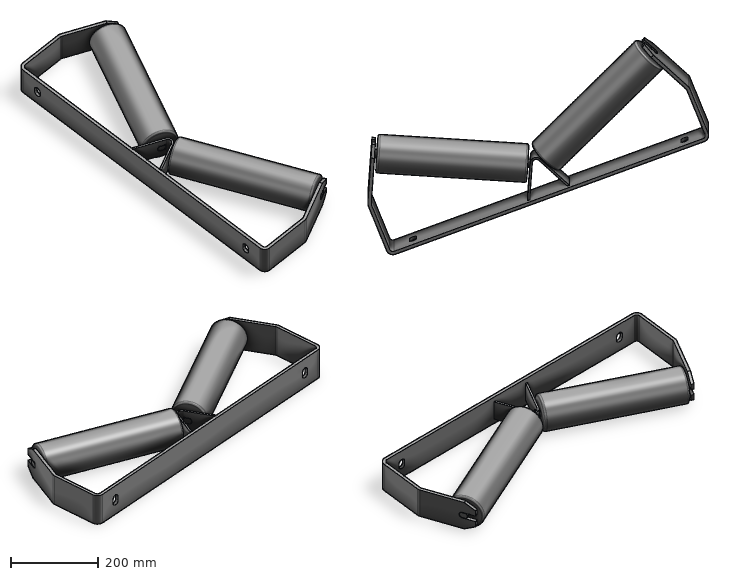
import cadquery as cq
import math


TROUGH_ANGLE = 25.0

FRAME_LENGTH = 790.0
FRAME_WIDTH = 80.0
FRAME_THICKNESS = 8.0
FRAME_BEND_RADIUS = 16.0
SIDE_BEND_Y = 131.0
ARM_LENGTH = 139.0
ARM_CORNER_LENGTH = 28.5
ARM_CORNER_DEPTH = 16.0

MOUNT_HOLE_X = 333.0
MOUNT_HOLE_WIDTH = 17.0
MOUNT_HOLE_HEIGHT = 27.0

SUPPORT_WIDTH = 52.0
SUPPORT_THICKNESS = 5.0
SUPPORT_FOOT_X = 51.0
SUPPORT_BEND_RADIUS = 13.5

ROLLER_DIAMETER = 89.0
ROLLER_EDGE_RADIUS = 5.0
ROLLER_GAP = 5.5
ROLLER_AXIS_OFFSET = 67.0

SHAFT_DIAMETER = 20.0
SHAFT_FLATS = 14.0
SLOT_WIDTH = 16.5
SUPPORT_SLOT_OPENING = 10.0

COS = math.cos(math.radians(TROUGH_ANGLE))
SIN = math.sin(math.radians(TROUGH_ANGLE))
HALF_COS = math.cos(math.radians(TROUGH_ANGLE / 2))
HALF_SIN = math.sin(math.radians(TROUGH_ANGLE / 2))
HALF_LENGTH = FRAME_LENGTH / 2
HALF_WIDTH = FRAME_WIDTH / 2

BEND_CENTRE_X = HALF_LENGTH - FRAME_BEND_RADIUS
ARM_OUTER_ALONG = BEND_CENTRE_X * COS + SIDE_BEND_Y * SIN + FRAME_BEND_RADIUS
ARM_INNER_ALONG = ARM_OUTER_ALONG - FRAME_THICKNESS
ARM_ROOT_ACROSS = SIDE_BEND_Y * COS - BEND_CENTRE_X * SIN
ARM_TIP_ACROSS = ARM_ROOT_ACROSS + ARM_LENGTH
LEG_OUTER_ALONG = SUPPORT_FOOT_X * COS + FRAME_THICKNESS * SIN
LEG_INNER_ALONG = LEG_OUTER_ALONG - SUPPORT_THICKNESS
CROWN_CENTRE_Y = (LEG_OUTER_ALONG - SUPPORT_BEND_RADIUS) / SIN

FLAT_CORNER_DROP = math.sqrt((SHAFT_DIAMETER / 2) ** 2 - (SHAFT_FLATS / 2) ** 2)
SLOT_CORNER_DROP = math.sqrt((SLOT_WIDTH / 2) ** 2 - (SHAFT_FLATS / 2) ** 2)
SLOT_FLOOR_DROP = FLAT_CORNER_DROP - SLOT_CORNER_DROP


def tilted(along, across):
    """XY point for a position in the right-hand roller frame."""
    return (along * COS - across * SIN, along * SIN + across * COS)


def tilted_plane(along):
    """Plane square to the right-hand roller axis; local x runs across, local y runs along Z."""
    x, y = tilted(along, ROLLER_AXIS_OFFSET)
    return cq.Plane(origin=(x, y, 0), xDir=(-SIN, COS, 0), normal=(COS, SIN, 0))


def mirrored(shape):
    """Left-hand copy of a right-hand shape."""
    return shape.mirror("YZ")


def shaft_slot(start, end, opening_length):
    """Cutter for a round-floored shaft slot, spanning start to end along the right-hand roller axis."""
    floor = (
        cq.Workplane(tilted_plane(start))
        .center(-SLOT_FLOOR_DROP, 0)
        .circle(SLOT_WIDTH / 2)
        .extrude(end - start)
    )
    channel = (
        cq.Workplane(tilted_plane(start))
        .center(-SLOT_FLOOR_DROP, 0)
        .rect(opening_length + SLOT_FLOOR_DROP, SLOT_WIDTH, centered=(False, True))
        .extrude(end - start)
    )
    return floor.union(channel)


def frame_strip():
    """Bent strip: half its outline from the middle of the back to the arm tip and back, mirrored."""
    inner_bend = FRAME_BEND_RADIUS - FRAME_THICKNESS
    diagonal = math.sqrt(0.5)

    def low_bend(radius, x_part, y_part):
        return (BEND_CENTRE_X + radius * x_part, FRAME_BEND_RADIUS - radius * y_part)

    def high_bend(radius, x_part, y_part):
        return (BEND_CENTRE_X + radius * x_part, SIDE_BEND_Y + radius * y_part)

    return (
        cq.Workplane("XY", origin=(0, 0, -HALF_WIDTH))
        .moveTo(0, 0)
        .lineTo(*low_bend(FRAME_BEND_RADIUS, 0, 1))
        .threePointArc(
            low_bend(FRAME_BEND_RADIUS, diagonal, diagonal),
            low_bend(FRAME_BEND_RADIUS, 1, 0),
        )
        .lineTo(*high_bend(FRAME_BEND_RADIUS, 1, 0))
        .threePointArc(
            high_bend(FRAME_BEND_RADIUS, HALF_COS, HALF_SIN),
            high_bend(FRAME_BEND_RADIUS, COS, SIN),
        )
        .lineTo(*tilted(ARM_OUTER_ALONG, ARM_TIP_ACROSS))
        .lineTo(*tilted(ARM_INNER_ALONG, ARM_TIP_ACROSS))
        .lineTo(*high_bend(inner_bend, COS, SIN))
        .threePointArc(high_bend(inner_bend, HALF_COS, HALF_SIN), high_bend(inner_bend, 1, 0))
        .lineTo(*low_bend(inner_bend, 1, 0))
        .threePointArc(low_bend(inner_bend, diagonal, diagonal), low_bend(inner_bend, 0, 1))
        .lineTo(0, FRAME_THICKNESS)
        .mirrorY()
        .extrude(FRAME_WIDTH)
    )


def arm_corner_cuts():
    """Cutter for the two sloping corners at the tip of the right-hand arm."""
    tip = ARM_TIP_ACROSS - ROLLER_AXIS_OFFSET
    corner = (
        cq.Workplane(tilted_plane(ARM_INNER_ALONG))
        .moveTo(tip, HALF_WIDTH)
        .lineTo(tip - ARM_CORNER_LENGTH, HALF_WIDTH)
        .lineTo(tip, HALF_WIDTH - ARM_CORNER_DEPTH)
        .close()
        .extrude(FRAME_THICKNESS)
    )
    return corner.union(corner.mirror("XY"))


def mount_holes():
    return (
        cq.Workplane("XZ")
        .pushPoints([(-MOUNT_HOLE_X, 0), (MOUNT_HOLE_X, 0)])
        .slot2D(MOUNT_HOLE_HEIGHT, MOUNT_HOLE_WIDTH, 90)
        .extrude(-FRAME_THICKNESS)
    )


def make_frame():
    slot = shaft_slot(ARM_INNER_ALONG, ARM_OUTER_ALONG, ARM_TIP_ACROSS - ROLLER_AXIS_OFFSET)
    tip_cuts = slot.union(arm_corner_cuts())
    return frame_strip().cut(tip_cuts).cut(mirrored(tip_cuts)).cut(mount_holes())


def support_strip():
    """Inverted V with a round crown, standing on the inside of the frame back."""
    inner_bend = SUPPORT_BEND_RADIUS - SUPPORT_THICKNESS
    outer_foot = (SUPPORT_FOOT_X, FRAME_THICKNESS)
    inner_foot = (SUPPORT_FOOT_X - SUPPORT_THICKNESS / COS, FRAME_THICKNESS)

    def crown(radius, side):
        return (side * radius * COS, CROWN_CENTRE_Y + radius * SIN)

    return (
        cq.Workplane("XY", origin=(0, 0, -SUPPORT_WIDTH / 2))
        .moveTo(*outer_foot)
        .lineTo(*crown(SUPPORT_BEND_RADIUS, 1))
        .threePointArc((0, CROWN_CENTRE_Y + SUPPORT_BEND_RADIUS), crown(SUPPORT_BEND_RADIUS, -1))
        .lineTo(-outer_foot[0], outer_foot[1])
        .lineTo(-inner_foot[0], inner_foot[1])
        .lineTo(*crown(inner_bend, -1))
        .threePointArc((0, CROWN_CENTRE_Y + inner_bend), crown(inner_bend, 1))
        .lineTo(*inner_foot)
        .close()
        .extrude(SUPPORT_WIDTH)
    )


def make_support():
    slot = shaft_slot(LEG_INNER_ALONG, LEG_OUTER_ALONG, SUPPORT_SLOT_OPENING)
    return support_strip().cut(slot).cut(mirrored(slot))


def make_roller(right_hand):
    """Roller on either side: a round shell with a shaft whose flatted ends fill the strip thickness."""
    shell_start = LEG_OUTER_ALONG + ROLLER_GAP
    shell_length = ARM_INNER_ALONG - ROLLER_GAP - shell_start
    shell = (
        cq.Workplane(tilted_plane(shell_start))
        .circle(ROLLER_DIAMETER / 2)
        .extrude(shell_length)
        .edges()
        .fillet(ROLLER_EDGE_RADIUS)
    )
    shaft = (
        cq.Workplane(tilted_plane(LEG_OUTER_ALONG))
        .circle(SHAFT_DIAMETER / 2)
        .extrude(ARM_INNER_ALONG - LEG_OUTER_ALONG)
    )
    full_length = ARM_OUTER_ALONG - LEG_INNER_ALONG
    shaft_plane = tilted_plane(LEG_INNER_ALONG)
    flats = cq.Workplane(shaft_plane).rect(SHAFT_DIAMETER, SHAFT_FLATS).extrude(full_length)
    flatted_shaft = (
        cq.Workplane(shaft_plane)
        .circle(SHAFT_DIAMETER / 2)
        .extrude(full_length)
        .intersect(flats)
    )
    roller = shell.union(shaft).union(flatted_shaft)
    return roller if right_hand else mirrored(roller)


frame = make_frame()
support = make_support()
rollers = [make_roller(right_hand) for right_hand in (True, False)]

result = cq.Compound.makeCompound([frame.val(), support.val(), *[roller.val() for roller in rollers]])